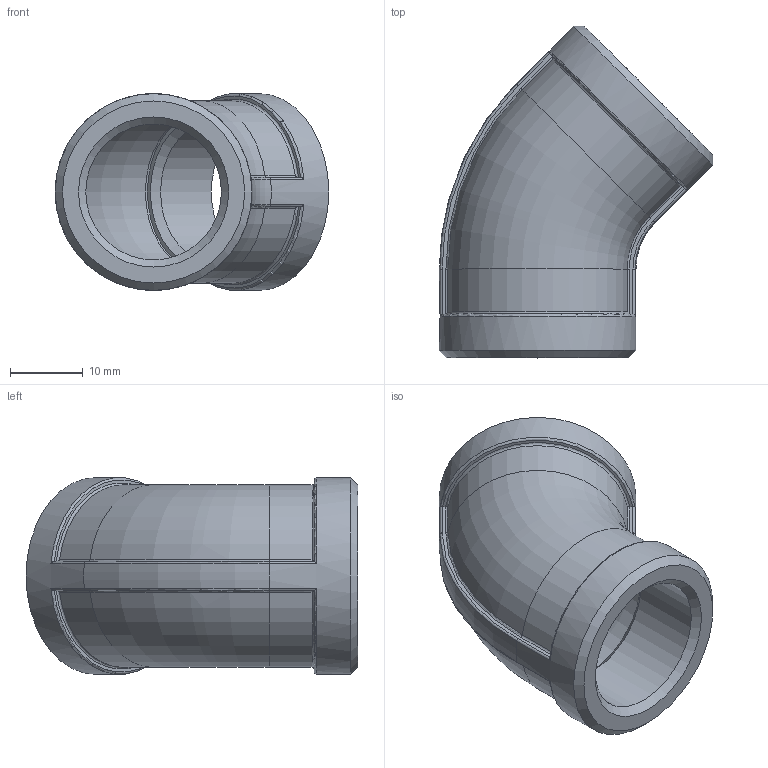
import cadquery as cq
import math


bend_angle = 45.0
bend_radius = 22.5
center_to_face = 21.5

collar_diameter = 27.0
collar_length = 6.0
collar_chamfer = 1.0
body_diameter = 25.0
rib_width = 4.0
edge_radius = 0.3

thread_bore_diameter = 18.63
thread_mouth_diameter = 20.6
cavity_diameter = 21.8
thread_depth = 11.8

half_bend = math.radians(bend_angle / 2)
leg_length = center_to_face - bend_radius * math.tan(half_bend)
flare = (thread_mouth_diameter - thread_bore_diameter) / 2
wall_height = (collar_diameter - body_diameter) / 2
cutter_diameter = collar_diameter + 2 * wall_height
slab_size = 4 * center_to_face

END_PLANE = cq.Plane(origin=(0, 0, 0), xDir=(1, 0, 0), normal=(0, 1, 0))
BEND_CENTER = (bend_radius, leg_length, 0)
MIDDLE_DIRECTION = cq.Vector(math.sin(half_bend), math.cos(half_bend), 0)
SECOND_END_DIRECTION = cq.Vector(math.sin(2 * half_bend), math.cos(2 * half_bend), 0)


def both_ends(first_end):
    """Join a solid at the first end with its mirror image at the second end."""
    return first_end.union(first_end.mirror(MIDDLE_DIRECTION, BEND_CENTER))


def elbow_bar(diameter, setback):
    """Round bar along the elbow's centreline, stopping short of both end faces by the setback."""
    leg = (
        cq.Workplane(END_PLANE)
        .workplane(offset=setback)
        .circle(diameter / 2)
        .extrude(leg_length - setback)
    )
    bend = (
        cq.Workplane(END_PLANE)
        .workplane(offset=leg_length)
        .circle(diameter / 2)
        .revolve(bend_angle, (bend_radius, 0), (bend_radius, 1))
    )
    return both_ends(leg).union(bend)


def collar_blank():
    """Elbow bar at the collar diameter with both end rims chamfered."""
    blank = elbow_bar(collar_diameter, 0)
    blank = blank.faces("<Y").edges().chamfer(collar_chamfer)
    second_face = cq.selectors.DirectionMinMaxSelector(SECOND_END_DIRECTION)
    return blank.faces(second_face).edges().chamfer(collar_chamfer)


def relief_pockets():
    """Space around the body between the collars, split in two by the ribs along the bend plane."""
    sleeve = elbow_bar(cutter_diameter, collar_length).cut(elbow_bar(body_diameter, collar_length))
    rib_slab = cq.Workplane("XY").box(slab_size, slab_size, rib_width)
    return sleeve.cut(rib_slab)


def round_pocket_walls(casting):
    """Round the top edges and the feet of the pocket walls, leaving the upright corners sharp."""
    off_plane = rib_width / 4
    walls = [face for face in casting.faces("%PLANE").vals() if abs(face.Center().z) > off_plane]
    wall_edges = casting.newObject(walls).edges().vals()
    long_edges = [edge for edge in wall_edges if edge.Length() > 2 * wall_height]
    return casting.newObject(long_edges).fillet(edge_radius)


def thread_bore():
    """Thread bore of the first end, flared at its mouth and towards the cavity."""
    bore_radius = thread_bore_diameter / 2
    mouth_radius = thread_mouth_diameter / 2
    profile = (
        cq.Workplane("XY")
        .lineTo(mouth_radius, 0)
        .lineTo(bore_radius, flare)
        .lineTo(bore_radius, thread_depth - flare)
        .lineTo(mouth_radius, thread_depth)
        .lineTo(0, thread_depth)
        .close()
    )
    return profile.revolve(360, (0, 0), (0, 1))


def passage():
    """Opening through the elbow: a thread bore at each end and the wider cavity between them."""
    return elbow_bar(cavity_diameter, thread_depth).union(both_ends(thread_bore()))


casting = collar_blank().cut(relief_pockets())
result = round_pocket_walls(casting).cut(passage()).solids()